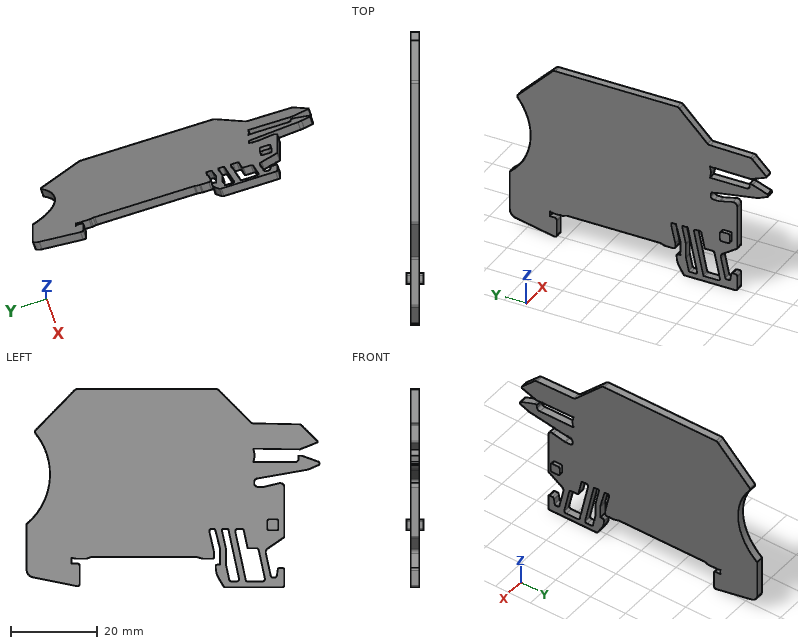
import cadquery as cq
import math


LENGTH = 68.12
HEIGHT = 46.07
PLATE_THICKNESS = 2.0
OVERALL_WIDTH = 4.0

SHARP = 0.0
SMALL_RADIUS = 0.3
MEDIUM_RADIUS = 0.5
LARGE_RADIUS = 1.0

TOP_REAR = 11.5
TOP_FRONT = 44.4
SHOULDER_RADIUS = 0.9
SHOULDER_BASE = 34.3
REAR_TIP_RADIUS = 0.6
ARM_ROOT = (52.35, 38.1)

BITE_RADIUS = 15.0
BITE_CENTER = (-9.52, 26.25)

UPPER_ARM_BEND = (63.65, 37.88)
UPPER_ARM_TIP = (67.87, 33.72)
UPPER_ARM_UNDER_BEND = (63.5, 32.0)
UPPER_ARM_BEND_RADIUS = 0.8

GAP_ROOT = 52.77
GAP_TOP = 32.15
GAP_BOTTOM = 29.1
GAP_BULGE = 0.3

BARB_REAR = 63.2
BARB_TOP = 30.6
BARB_ROOT_RADIUS = 0.8
BARB_CREST = 63.9
LOWER_TIP_Z = 28.7
LOWER_TIP_TOP = (67.95, 29.15)
LOWER_TIP_BOTTOM = (67.95, 28.4)
LOWER_ARM_UNDER_BEND = (65.4, 27.3)
LOWER_ARM_BEND_RADIUS = 4.0

RELIEF_ROOT = 52.95
RELIEF_TOP = 25.12
RELIEF_BOTTOM = 23.35
RELIEF_FLOOR_BEND = 55.2
RELIEF_RADIUS = 0.8

FRONT = 59.95
FRONT_TOP = 24.5
FRONT_BOTTOM = 11.65
NECK_TOP = (55.5, 8.6)
HOOK_GAP_BOTTOM = 2.3
HOOK_GAP_FRONT = 58.1
HOOK_TOP = 4.5
HOOK_INNER_TOP = 58.4

LATCH_TOP = 5.3
LATCH_REAR = 43.87
LATCH_BEND = (44.13, 3.0)
LATCH_BEND_RADIUS = 4.0
FOOT_REAR = 45.9

LEAN = math.tan(math.radians(12.2))
SLOT_TOP = 13.54
SLOT_BOTTOM = 1.4
KNEE_TOP = 8.9
REAR_SLOT_KNEE = 8.2
KNEE_BOTTOM = 5.2
REAR_SLOT_REAR = 42.4
REAR_SLOT_WALL = 43.62
REAR_SLOT_FRONT = 43.8
REAR_LEG_BACK = 44.97
MIDDLE_SLOT_REAR = 45.37
MIDDLE_SLOT_WALL = 46.4
MIDDLE_SLOT_FRONT = 46.87
WINDOW_REAR = 48.42
WINDOW_FRONT = 50.4
WINDOW_STEP = 9.05
WINDOW_STEP_FRONT = 53.85

SEAT_Z = 7.0
PAD_Z = 6.6
SEAT_FRONT = 39.6
FRONT_PAD_START = 41.0
REAR_PAD_START = 14.0
SEAT_REAR = 15.0
PAD_RADIUS = 1.0

HOOK_SLOT_REAR = 10.52
HOOK_SLOT_TOP = 6.8
HOOK_SLOT_BEND = 11.6
HOOK_SLOT_BOTTOM = 5.54
REAR_HOOK_FRONT = 12.43
REAR_HOOK_BOTTOM = 0.1
REAR_HOOK_RADIUS = 0.6
REAR_CORNER_Z = 2.6
REAR_CORNER_RADIUS = 2.0

PEG_SIZE = 2.6
PEG_CENTER = (57.25, 14.5)
PEG_CORNER_RADIUS = 0.5


def leaning(start, drop):
    """Position along the plate of a leaning wall after dropping from its start."""
    return start + LEAN * drop


def rounded_outline(corners):
    """Closed wire through (s, z, radius) corners, each replaced by a tangent arc."""
    pieces = []
    for index, (s, z, radius) in enumerate(corners):
        corner = cq.Vector(s, z, 0)
        before = cq.Vector(*corners[index - 1][:2], 0)
        after = cq.Vector(*corners[(index + 1) % len(corners)][:2], 0)
        if radius == SHARP:
            pieces.append((corner,))
            continue
        to_before = (before - corner).normalized()
        to_after = (after - corner).normalized()
        half_angle = to_before.getAngle(to_after) / 2
        setback = radius / math.tan(half_angle)
        bisector = (to_before + to_after).normalized()
        middle = corner + bisector * (radius / math.sin(half_angle) - radius)
        pieces.append((corner + to_before * setback, middle, corner + to_after * setback))

    edges = []
    for index, piece in enumerate(pieces):
        edges.append(cq.Edge.makeLine(pieces[index - 1][-1], piece[0]))
        if len(piece) > 1:
            edges.append(cq.Edge.makeThreePointArc(*piece))
    return cq.Wire.assembleEdges(edges)


def side_plane(x):
    """Sketch plane facing -X, with s along -Y and z along Z."""
    return cq.Workplane(cq.Plane(origin=(x, 0, 0), xDir=(0, -1, 0), normal=(-1, 0, 0)))


def extrude_corners(corners, thickness):
    """Solid of the given thickness, centred on X = 0."""
    sketch = side_plane(thickness / 2)
    outline = rounded_outline(corners).moved(sketch.plane.location)
    return sketch.add(outline).toPending().extrude(thickness)


def top_and_upper_arm():
    return [
        (0, SHOULDER_BASE, SHARP),
        (TOP_REAR, HEIGHT, SHOULDER_RADIUS),
        (TOP_FRONT, HEIGHT, SHOULDER_RADIUS),
        (*ARM_ROOT, LARGE_RADIUS),
        (*UPPER_ARM_BEND, UPPER_ARM_BEND_RADIUS),
        (*UPPER_ARM_TIP, SMALL_RADIUS),
        (*UPPER_ARM_UNDER_BEND, SMALL_RADIUS),
    ]


def gap_and_lower_arm():
    return [
        (GAP_ROOT, GAP_TOP, SHARP),
        (GAP_ROOT + GAP_BULGE, (GAP_TOP + GAP_BOTTOM) / 2, LARGE_RADIUS),
        (GAP_ROOT, GAP_BOTTOM, SHARP),
        (BARB_REAR, GAP_BOTTOM, BARB_ROOT_RADIUS),
        (BARB_REAR, BARB_TOP, SHARP),
        (BARB_CREST, BARB_TOP, SMALL_RADIUS),
        (*LOWER_TIP_TOP, SHARP),
        (LENGTH, LOWER_TIP_Z, SHARP),
        (*LOWER_TIP_BOTTOM, SHARP),
        (*LOWER_ARM_UNDER_BEND, LOWER_ARM_BEND_RADIUS),
        (RELIEF_ROOT, RELIEF_TOP, RELIEF_RADIUS),
        (RELIEF_ROOT, RELIEF_BOTTOM, RELIEF_RADIUS),
        (RELIEF_FLOOR_BEND, RELIEF_BOTTOM, LARGE_RADIUS),
    ]


def front_edge_and_foot():
    neck_s, neck_z = NECK_TOP
    hook_gap_rear = leaning(neck_s, neck_z - HOOK_GAP_BOTTOM)
    return [
        (FRONT, FRONT_TOP, LARGE_RADIUS),
        (FRONT, FRONT_BOTTOM, SMALL_RADIUS),
        (neck_s, neck_z, LARGE_RADIUS),
        (hook_gap_rear, HOOK_GAP_BOTTOM, MEDIUM_RADIUS),
        (HOOK_GAP_FRONT, HOOK_GAP_BOTTOM, MEDIUM_RADIUS),
        (HOOK_INNER_TOP, HOOK_TOP, MEDIUM_RADIUS),
        (FRONT, HOOK_TOP, MEDIUM_RADIUS),
        (FRONT, 0, MEDIUM_RADIUS),
        (FOOT_REAR, 0, MEDIUM_RADIUS),
        (*LATCH_BEND, LATCH_BEND_RADIUS),
        (LATCH_REAR, LATCH_TOP, MEDIUM_RADIUS),
        (REAR_LEG_BACK, LATCH_TOP, SHARP),
    ]


def rear_slot():
    return [
        (REAR_LEG_BACK, KNEE_TOP, LARGE_RADIUS),
        (REAR_SLOT_FRONT, SLOT_TOP, MEDIUM_RADIUS),
        (REAR_SLOT_REAR, SLOT_TOP, MEDIUM_RADIUS),
        (REAR_SLOT_WALL, REAR_SLOT_KNEE, LARGE_RADIUS),
        (REAR_SLOT_WALL, PAD_Z, MEDIUM_RADIUS),
    ]


def underside_and_rear_hook():
    return [
        (FRONT_PAD_START, PAD_Z, PAD_RADIUS),
        (SEAT_FRONT, SEAT_Z, PAD_RADIUS),
        (SEAT_REAR, SEAT_Z, PAD_RADIUS),
        (REAR_PAD_START, PAD_Z, PAD_RADIUS),
        (HOOK_SLOT_BEND, PAD_Z, PAD_RADIUS),
        (HOOK_SLOT_REAR, HOOK_SLOT_TOP, SHARP),
        (HOOK_SLOT_REAR, HOOK_SLOT_BOTTOM, SHARP),
        (REAR_HOOK_FRONT, HOOK_SLOT_BOTTOM, REAR_HOOK_RADIUS),
        (REAR_HOOK_FRONT, REAR_HOOK_BOTTOM, REAR_HOOK_RADIUS),
        (0, REAR_CORNER_Z, REAR_CORNER_RADIUS),
    ]


def middle_slot():
    return [
        (MIDDLE_SLOT_REAR, SLOT_TOP, SMALL_RADIUS),
        (MIDDLE_SLOT_FRONT, SLOT_TOP, SMALL_RADIUS),
        (leaning(MIDDLE_SLOT_FRONT, SLOT_TOP - SLOT_BOTTOM), SLOT_BOTTOM, MEDIUM_RADIUS),
        (leaning(MIDDLE_SLOT_WALL, KNEE_BOTTOM - SLOT_BOTTOM), SLOT_BOTTOM, MEDIUM_RADIUS),
        (MIDDLE_SLOT_WALL, KNEE_BOTTOM, LARGE_RADIUS),
        (MIDDLE_SLOT_WALL, KNEE_TOP, LARGE_RADIUS),
    ]


def stepped_window():
    return [
        (WINDOW_REAR, SLOT_TOP, MEDIUM_RADIUS),
        (WINDOW_FRONT, SLOT_TOP, MEDIUM_RADIUS),
        (leaning(WINDOW_FRONT, SLOT_TOP - WINDOW_STEP), WINDOW_STEP, SMALL_RADIUS),
        (WINDOW_STEP_FRONT, WINDOW_STEP, MEDIUM_RADIUS),
        (leaning(WINDOW_STEP_FRONT, WINDOW_STEP - SLOT_BOTTOM), SLOT_BOTTOM, MEDIUM_RADIUS),
        (leaning(WINDOW_REAR, SLOT_TOP - SLOT_BOTTOM), SLOT_BOTTOM, SMALL_RADIUS),
    ]


def make_plate():
    outline = (
        top_and_upper_arm()
        + gap_and_lower_arm()
        + front_edge_and_foot()
        + rear_slot()
        + underside_and_rear_hook()
    )
    plate = extrude_corners(outline, PLATE_THICKNESS)
    bite = side_plane(PLATE_THICKNESS / 2).center(*BITE_CENTER).circle(BITE_RADIUS)
    plate = plate.cut(bite.extrude(PLATE_THICKNESS))
    rear_tip = cq.NearestToPointSelector((0, 0, SHOULDER_BASE))
    plate = plate.edges("|X").edges(rear_tip).fillet(REAR_TIP_RADIUS)
    for opening in (middle_slot(), stepped_window()):
        plate = plate.cut(extrude_corners(opening, PLATE_THICKNESS))
    return plate


def make_pegs():
    """One rounded square bar through the plate forms the peg on both faces."""
    square = side_plane(OVERALL_WIDTH / 2).center(*PEG_CENTER).rect(PEG_SIZE, PEG_SIZE)
    return square.extrude(OVERALL_WIDTH).edges("|X").fillet(PEG_CORNER_RADIUS)


result = make_plate().union(make_pegs())